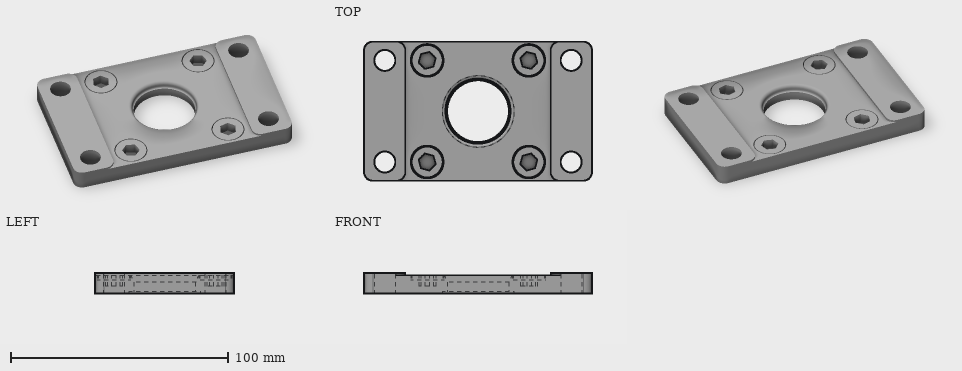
import cadquery as cq
import math

length = 105.0
width = 64.0
height = 9.6
corner_radius = 4.2

recess_depth = 1.0
pad_length = 19.1
middle_height = height - recess_depth

fixing_spacing_x = 85.7
hole_spacing_y = 46.7
fixing_diameter = 9.6

screw_spacing = hole_spacing_y
screw_count = 4
counterbore_diameter = 15.1
head_diameter = 14.2
screw_gap_depth = 2.1
socket_sides = 6
socket_flats = 7.0
socket_depth = 4.9
socket_turn = 15.0

bore_radius = 14.2
seat_radius = 15.0
seat_depth = 3.2
rim_round = 1.5
seat_round = seat_radius - bore_radius
underside_radius = 16.5
underside_depth = 1.0


def make_plate():
    """Middle slab with rounded corners, plus a rounded raised pad at each end."""
    plate = cq.Workplane("XY").rect(length, width).extrude(middle_height)
    plate = plate.edges("|Z").fillet(corner_radius)
    pad_offset = (length - pad_length) / 2
    pads = (
        cq.Workplane("XY")
        .pushPoints([(-pad_offset, 0), (pad_offset, 0)])
        .rect(pad_length, width)
        .extrude(height)
        .edges("|Z")
        .fillet(corner_radius)
    )
    return plate.union(pads)


def make_fixing_holes():
    """Four cylinders through the end pads."""
    return (
        cq.Workplane("XY")
        .rect(fixing_spacing_x, hole_spacing_y, forConstruction=True)
        .vertices()
        .circle(fixing_diameter / 2)
        .extrude(height)
    )


def make_screw_cut():
    """Narrow ring around the screw head and the hexagon socket in it."""
    gap = (
        cq.Workplane("XY", origin=(0, 0, middle_height))
        .circle(counterbore_diameter / 2)
        .circle(head_diameter / 2)
        .extrude(-screw_gap_depth)
    )
    socket = (
        cq.Workplane("XY", origin=(0, 0, middle_height))
        .polygon(socket_sides, socket_flats, circumscribed=True)
        .extrude(-socket_depth)
    )
    return gap.union(socket)


def make_bore():
    """Bore turned about Z: underside recess, straight bore, rounded seat and rounded rim."""
    seat_floor = middle_height - seat_depth
    diagonal = math.sqrt(0.5)
    seat_center = (bore_radius, seat_floor + seat_round)
    rim_center = (seat_radius + rim_round, middle_height - rim_round)
    profile = (
        cq.Workplane("XZ")
        .moveTo(0, 0)
        .lineTo(underside_radius, 0)
        .lineTo(underside_radius, underside_depth)
        .lineTo(bore_radius, underside_depth)
        .lineTo(bore_radius, seat_floor)
        .threePointArc(
            (seat_center[0] + seat_round * diagonal, seat_center[1] - seat_round * diagonal),
            (seat_radius, seat_center[1]),
        )
        .lineTo(seat_radius, rim_center[1])
        .threePointArc(
            (rim_center[0] - rim_round * diagonal, rim_center[1] + rim_round * diagonal),
            (rim_center[0], middle_height),
        )
        .lineTo(0, middle_height)
        .close()
    )
    return profile.revolve(360, (0, 0, 0), (0, 1, 0))


result = make_plate().cut(make_fixing_holes()).cut(make_bore())

screw = (
    make_screw_cut()
    .rotate((0, 0, 0), (0, 0, 1), socket_turn)
    .translate((screw_spacing / 2, screw_spacing / 2, 0))
)
for index in range(screw_count):
    result = result.cut(screw.rotate((0, 0, 0), (0, 0, 1), index * 360 / screw_count))